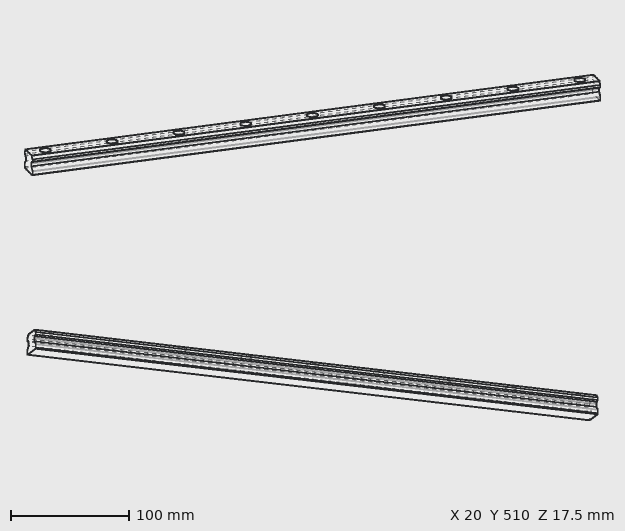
import cadquery as cq
import math

width = 20.0
length = 510.0
height = 17.5
half_width = width / 2

base_chamfer = 0.8
shoulder_z = 4.2
shoulder_fillet = 1.0

half_waist = 6.85
flare_z = 10.25
neck_fillet = 1.2

flare_run = 1.2
lower_groove_top_z = 12.4
upper_groove_bottom_z = 14.7
half_top = 7.6
top_chamfer = 0.3
groove_sag = 0.45

hole_pitch = 60.0
hole_count = 9
hole_diameter = 9.5
cap_recess = 0.2


def groove_middle(start, end):
    """Point of a ball groove midway between its edges, sunk into the head."""
    dx = end[0] - start[0]
    dz = end[1] - start[1]
    chord = math.hypot(dx, dz)
    middle_x = (start[0] + end[0]) / 2 - groove_sag * dz / chord
    middle_z = (start[1] + end[1]) / 2 + groove_sag * dx / chord
    return middle_x, middle_z


def lengthwise_edge(x, z):
    """Selector for the edge along Y whose middle lies at x, z."""
    return cq.selectors.NearestToPointSelector((x, 0, z))


def make_half_rail():
    """The +X half of the waisted section, extruded along Y about the origin."""
    waist_bottom_z = shoulder_z + half_width - half_waist
    lower_start = (half_waist + flare_run, flare_z + flare_run)
    lower_end = (half_width, lower_groove_top_z)
    upper_start = (half_width, upper_groove_bottom_z)
    upper_end = (half_top + top_chamfer, height - top_chamfer)

    section = (
        cq.Workplane("XZ")
        .lineTo(half_width - base_chamfer, 0)
        .lineTo(half_width, base_chamfer)
        .lineTo(half_width, shoulder_z)
        .lineTo(half_waist, waist_bottom_z)
        .lineTo(half_waist, flare_z)
        .lineTo(*lower_start)
        .threePointArc(groove_middle(lower_start, lower_end), lower_end)
        .lineTo(*upper_start)
        .threePointArc(groove_middle(upper_start, upper_end), upper_end)
        .lineTo(half_top, height)
        .lineTo(0, height)
        .close()
    )
    half = section.extrude(length / 2, both=True).clean()
    half = half.edges(lengthwise_edge(half_width, shoulder_z)).fillet(shoulder_fillet)
    return half.edges(lengthwise_edge(half_waist, flare_z)).fillet(neck_fillet)


def make_rail():
    """Both mirrored halves joined into one bar."""
    half = make_half_rail()
    return half.union(half.mirror("YZ")).clean()


def make_cap_recesses():
    """Shallow round recesses left above the caps of the mounting holes."""
    return (
        cq.Workplane("XY", origin=(0, 0, height))
        .rarray(1, hole_pitch, 1, hole_count)
        .circle(hole_diameter / 2)
        .extrude(-cap_recess)
    )


result = make_rail().cut(make_cap_recesses())